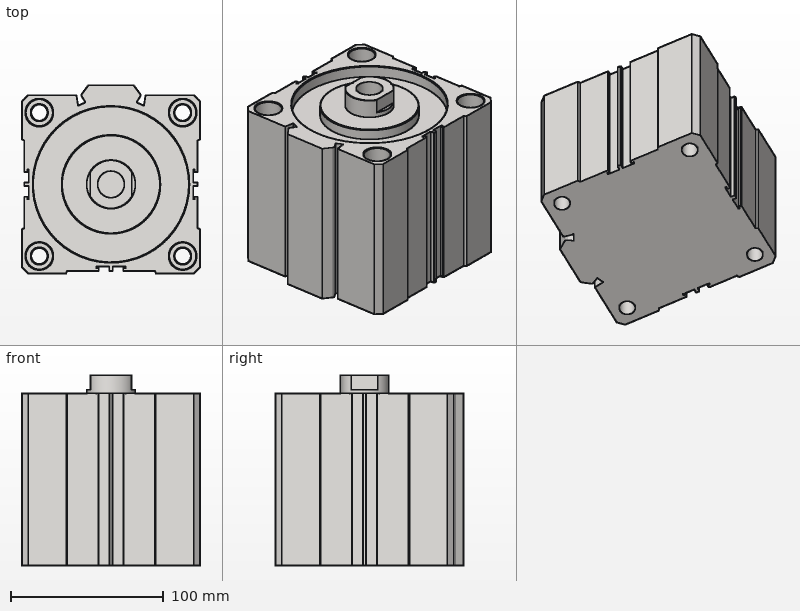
import cadquery as cq

TOTAL_HEIGHT = 125.0
BODY_WIDTH = 117.0
BODY_HEIGHT = 113.0
BODY_HALF = BODY_WIDTH / 2
CORNER_CHAMFER = 4.1

RAIL_TOP_Y = 65.0
RAIL_TOP_HALF = 14.9
RAIL_WIDEST_HALF = 19.8
RAIL_TIP_FILLET = 1.5
RAIL_NECK_HALF = 16.9
RAIL_NECK_Y = 53.8
RAIL_GROOVE_BOTTOM_HALF = 21.5
RAIL_GROOVE_BOTTOM_Y = 51.6
RAIL_GROOVE_MOUTH_HALF = 22.6

FLAT_DEPTH = 1.6
FLAT_FLOOR_HALF = 28.6
FLAT_MOUTH_HALF = 29.5
SLOT_HALF = 8.0
SLOT_DEPTH = 2.9
UNDERCUT_HALF = 9.6
UNDERCUT_HEIGHT = 0.9
SLOT_RIB_HALF = 1.2
MOUTH_CHAMFER = 0.4

BOLT_OFFSET = 47.0
BOLT_HOLE_DIAMETER = 10.5
COUNTERBORE_DIAMETER = 17.5
COUNTERBORE_DEPTH = 13.0
BOLT_HOLE_CHAMFER = 0.5

RECESS_RADIUS = 51.0
RECESS_DEPTH = 8.0
BOSS_RADIUS = 32.5
BOSS_DROP = 0.8
RECESS_CHAMFER = 0.5
BOSS_CHAMFER = 0.5

ROD_DIAMETER = 32.0
ROD_SOCKET_DEPTH = 37.5
ROD_HOLE_DIAMETER = 17.5
ROD_HOLE_DEPTH = 30.0
ROD_CHAMFER = 0.2
ROD_FLAT_WIDTH = 27.0
ROD_FLAT_HEIGHT = 9.5

ROD_BOTTOM_Z = BODY_HEIGHT - ROD_SOCKET_DEPTH


def body_block():
    """Square block with four chamfered upright edges."""
    return (
        cq.Workplane("XY")
        .rect(BODY_WIDTH, BODY_WIDTH)
        .extrude(BODY_HEIGHT)
        .edges("|Z")
        .chamfer(CORNER_CHAMFER)
    )


def dovetail_rail():
    """Rail that stands out of the +Y side and runs the full height."""
    right_side = [
        (RAIL_NECK_HALF, RAIL_NECK_Y),
        (RAIL_WIDEST_HALF, BODY_HALF),
        (RAIL_TOP_HALF, RAIL_TOP_Y),
    ]
    left_side = [(-x, y) for x, y in reversed(right_side)]
    rail = cq.Workplane("XY").polyline(right_side + left_side).close().extrude(BODY_HEIGHT)
    return rail.edges("|Z and (<X or >X)").fillet(RAIL_TIP_FILLET)


def rail_grooves():
    """Slanted grooves that undercut both flanks of the rail."""
    groove = (
        cq.Workplane("XY")
        .polyline(
            [
                (RAIL_GROOVE_MOUTH_HALF, BODY_HALF),
                (RAIL_NECK_HALF, BODY_HALF),
                (RAIL_NECK_HALF, RAIL_NECK_Y),
                (RAIL_GROOVE_BOTTOM_HALF, RAIL_GROOVE_BOTTOM_Y),
            ]
        )
        .close()
        .extrude(BODY_HEIGHT)
    )
    return groove.union(groove.mirror("YZ"))


def side_channel():
    """Channel of the -Y side: a shallow flat with two undercut slots beside a chamfered rib."""
    flat_y = FLAT_DEPTH - BODY_HALF
    floor_y = flat_y + SLOT_DEPTH
    undercut_y = floor_y - UNDERCUT_HEIGHT
    flat = (
        cq.Workplane("XY")
        .polyline(
            [
                (-FLAT_MOUTH_HALF, -BODY_HALF),
                (FLAT_MOUTH_HALF, -BODY_HALF),
                (FLAT_FLOOR_HALF, flat_y),
                (-FLAT_FLOOR_HALF, flat_y),
            ]
        )
        .close()
        .extrude(BODY_HEIGHT)
    )
    slot = (
        cq.Workplane("XY")
        .polyline(
            [
                (SLOT_RIB_HALF - MOUTH_CHAMFER, flat_y),
                (SLOT_HALF + MOUTH_CHAMFER, flat_y),
                (SLOT_HALF, flat_y + MOUTH_CHAMFER),
                (SLOT_HALF, undercut_y),
                (UNDERCUT_HALF, undercut_y),
                (UNDERCUT_HALF, floor_y),
                (SLOT_RIB_HALF, floor_y),
                (SLOT_RIB_HALF, flat_y + MOUTH_CHAMFER),
            ]
        )
        .close()
        .extrude(BODY_HEIGHT)
    )
    return flat.union(slot).union(slot.mirror("YZ"))


def rod_cylinder():
    """Plain cylinder of the rod, which is also the shape of its socket in the housing."""
    return (
        cq.Workplane("XY", origin=(0, 0, ROD_BOTTOM_Z))
        .circle(ROD_DIAMETER / 2)
        .extrude(TOTAL_HEIGHT - ROD_BOTTOM_Z)
    )


def top_recess():
    """Recess with a chamfered rim, around a chamfered boss that ends just below the top face."""
    floor_z = BODY_HEIGHT - RECESS_DEPTH
    boss_z = BODY_HEIGHT - BOSS_DROP
    return (
        cq.Workplane("XZ")
        .polyline(
            [
                (BOSS_RADIUS, floor_z),
                (RECESS_RADIUS, floor_z),
                (RECESS_RADIUS, BODY_HEIGHT - RECESS_CHAMFER),
                (RECESS_RADIUS + RECESS_CHAMFER, BODY_HEIGHT),
                (0, BODY_HEIGHT),
                (0, boss_z),
                (BOSS_RADIUS - BOSS_CHAMFER, boss_z),
                (BOSS_RADIUS, boss_z - BOSS_CHAMFER),
            ]
        )
        .close()
        .revolve(360, (0, 0, 0), (0, 1, 0))
    )


def bolt_hole():
    """Counterbored through hole on the Z axis with both of its upper edges chamfered."""
    bore_radius = COUNTERBORE_DIAMETER / 2
    shank_radius = BOLT_HOLE_DIAMETER / 2
    seat_z = BODY_HEIGHT - COUNTERBORE_DEPTH
    return (
        cq.Workplane("XZ")
        .polyline(
            [
                (0, 0),
                (shank_radius, 0),
                (shank_radius, seat_z - BOLT_HOLE_CHAMFER),
                (shank_radius + BOLT_HOLE_CHAMFER, seat_z),
                (bore_radius, seat_z),
                (bore_radius, BODY_HEIGHT - BOLT_HOLE_CHAMFER),
                (bore_radius + BOLT_HOLE_CHAMFER, BODY_HEIGHT),
                (0, BODY_HEIGHT),
            ]
        )
        .close()
        .revolve(360, (0, 0, 0), (0, 1, 0))
    )


def make_housing():
    """Cylinder housing with its rail, side channels, recess, bolt holes and rod socket."""
    body = body_block().cut(rail_grooves()).union(dovetail_rail())
    for angle in (-90, 0, 90):
        body = body.cut(side_channel().rotate((0, 0, 0), (0, 0, 1), angle))
    body = body.cut(top_recess())
    for x in (-BOLT_OFFSET, BOLT_OFFSET):
        for y in (-BOLT_OFFSET, BOLT_OFFSET):
            body = body.cut(bolt_hole().translate((x, y, 0)))
    return body.cut(rod_cylinder())


def make_rod():
    """Piston rod with a blind end hole and two wrench flats facing -X and +X."""
    end_hole = (
        cq.Workplane("XY", origin=(0, 0, TOTAL_HEIGHT - ROD_HOLE_DEPTH))
        .circle(ROD_HOLE_DIAMETER / 2)
        .extrude(ROD_HOLE_DEPTH)
    )
    wrench_zone = (
        cq.Workplane("XY", origin=(0, 0, TOTAL_HEIGHT - ROD_FLAT_HEIGHT))
        .rect(ROD_DIAMETER, ROD_DIAMETER)
        .rect(ROD_FLAT_WIDTH, ROD_DIAMETER)
        .extrude(ROD_FLAT_HEIGHT)
    )
    return rod_cylinder().faces(">Z").chamfer(ROD_CHAMFER).cut(wrench_zone).cut(end_hole)


housing = make_housing()
rod = make_rod()

result = cq.Compound.makeCompound([housing.solids().val(), rod.solids().val()])